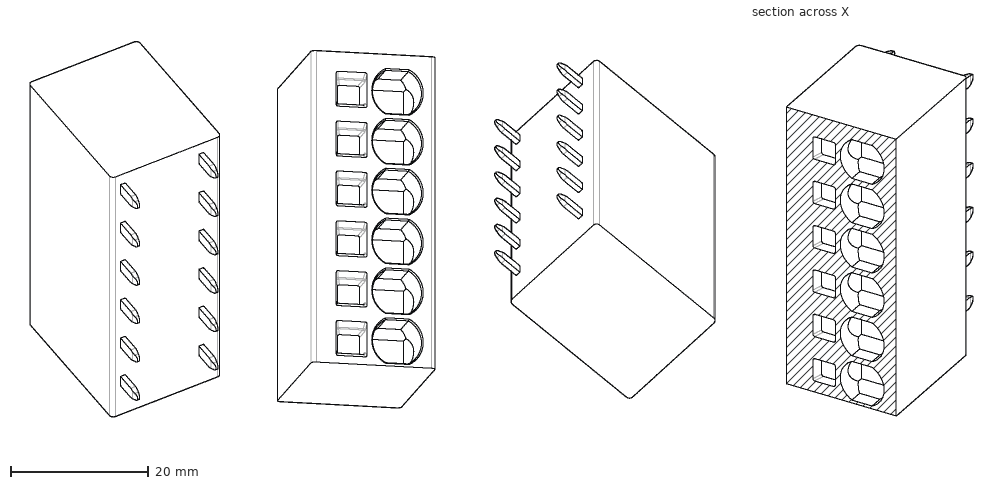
import cadquery as cq
import math

body_length = 24.15
body_width = 18.5
body_height = 46.8
edge_radius = 0.65

pole_count = 6
pole_pitch = 7.5
lowest_opening_z = 3.8
lowest_pin_z = 6.55

entry_y = -3.5
entry_radius = 3.65
entry_flat_height = 6.45
entry_chamfer_width = 0.2
entry_chamfer_depth = 0.37
entry_depth = 5.6
funnel_depth = 2.0
funnel_floor_width = 5.15
funnel_floor_height = 4.05

release_y_min = 1.05
release_y_max = 5.6
release_mouth_height = 5.25
release_throat_height = 3.7
release_lead_in_depth = 1.5
release_depth = 5.15
release_floor_width = 3.28
release_corner_radius = 0.3
release_throat_radius = 0.95

pin_rows_y = (5.85, -7.35)
pin_length = 4.6
pin_width = 1.83
pin_thickness = 0.8
pin_shoulder_length = 1.6
pin_nose_length = 0.6
pin_nose_width = 1.2
pin_wedge_length = 1.1
pin_tip_thickness = 0.35


def rect_on_yz(x, y, z, width, height):
    """Rectangle facing +X, width along Y and height along Z, centred at (x, y, z)."""
    return cq.Workplane("YZ", origin=(x, y, z)).rect(width, height)


def flattened_round(x, depth, radius, flat_height, taper=0):
    """Disc along +X from x, cut off flat above and below its axis, narrowing by the taper angle."""
    disc = cq.Workplane("YZ", origin=(x, entry_y, 0)).circle(radius).extrude(depth, taper=taper)
    flats = rect_on_yz(x, entry_y, 0, 3 * radius, flat_height).extrude(depth, taper=taper)
    return disc.intersect(flats)


def make_conductor_entry():
    """Straight flattened bore, chamfered mouth, and a funnel to a rectangular floor."""
    bore = flattened_round(0, entry_depth, entry_radius, entry_flat_height)
    mouth = flattened_round(
        0,
        entry_chamfer_depth,
        entry_radius + entry_chamfer_width,
        entry_flat_height + 2 * entry_chamfer_width,
        taper=math.degrees(math.atan(entry_chamfer_width / entry_chamfer_depth)),
    )
    funnel = (
        rect_on_yz(entry_depth, entry_y, 0, 2 * entry_radius, entry_flat_height)
        .workplane(offset=funnel_depth)
        .rect(funnel_floor_width, funnel_floor_height)
        .loft()
    )
    round_limit = flattened_round(entry_depth, funnel_depth, entry_radius, entry_flat_height)
    return bore.union(mouth).union(funnel.intersect(round_limit))


def make_release_opening():
    """Rectangular pocket with a slanted +Y wall and lead-ins above and below."""
    plan = (
        cq.Workplane("XY")
        .moveTo(0, release_y_min)
        .lineTo(release_depth, release_y_min)
        .lineTo(release_depth, release_y_min + release_floor_width)
        .lineTo(0, release_y_max)
        .close()
        .extrude(release_mouth_height / 2, both=True)
    )
    side = (
        cq.Workplane("XZ")
        .moveTo(0, -release_mouth_height / 2)
        .lineTo(release_lead_in_depth, -release_throat_height / 2)
        .lineTo(release_depth, -release_throat_height / 2)
        .lineTo(release_depth, release_throat_height / 2)
        .lineTo(release_lead_in_depth, release_throat_height / 2)
        .lineTo(0, release_mouth_height / 2)
        .close()
        .extrude(body_width / 2, both=True)
    )
    pocket = plan.intersect(side)
    selection_margin = 0.05
    throat_region = cq.selectors.BoxSelector(
        (release_lead_in_depth - selection_margin, 0, -body_width),
        (release_lead_in_depth + selection_margin, body_width, body_width),
    )
    pocket = pocket.edges("|Y").edges(throat_region).fillet(release_throat_radius)
    return pocket.edges("not(<X or >X or |Y)").fillet(release_corner_radius)


def make_pin(y):
    """Flat pin along +X with a rounded nose, thinned to a wedge at its end."""
    end = body_length + pin_length
    shoulder_x = end - pin_shoulder_length
    nose_x = end - pin_nose_length
    wedge_x = end - pin_wedge_length
    blade = (
        cq.Workplane("XZ", origin=(0, y, 0))
        .moveTo(body_length, -pin_width / 2)
        .lineTo(shoulder_x, -pin_width / 2)
        .lineTo(nose_x, -pin_nose_width / 2)
        .threePointArc((end, 0), (nose_x, pin_nose_width / 2))
        .lineTo(shoulder_x, pin_width / 2)
        .lineTo(body_length, pin_width / 2)
        .close()
        .extrude(pin_thickness / 2, both=True)
    )
    wedge = (
        cq.Workplane("XY", origin=(0, y, 0))
        .moveTo(body_length, -pin_thickness / 2)
        .lineTo(wedge_x, -pin_thickness / 2)
        .lineTo(end, -pin_tip_thickness / 2)
        .lineTo(end, pin_tip_thickness / 2)
        .lineTo(wedge_x, pin_thickness / 2)
        .lineTo(body_length, pin_thickness / 2)
        .close()
        .extrude(pin_width / 2, both=True)
    )
    return blade.intersect(wedge)


result = (
    cq.Workplane("XY")
    .box(body_length, body_width, body_height, centered=(False, True, False))
    .edges("|Z")
    .fillet(edge_radius)
)
conductor_entry = make_conductor_entry()
release_opening = make_release_opening()
for pole in range(pole_count):
    rise = pole * pole_pitch
    opening_z = lowest_opening_z + rise
    result = result.cut(conductor_entry.translate((0, 0, opening_z)))
    result = result.cut(release_opening.translate((0, 0, opening_z)))
    for y in pin_rows_y:
        result = result.union(make_pin(y).translate((0, 0, lowest_pin_z + rise)))